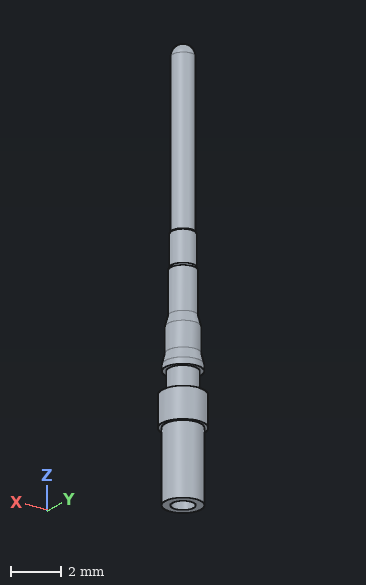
import cadquery as cq
import math

total_length = 19.6
collar_bottom = 3.3
collar_top = 4.7
flange_bottom = 5.7
flange_top = 6.0
seat_bottom = 6.47
seat_top = 7.6
long_step_bottom = 8.08
long_step_top = 10.0
short_step_bottom = 10.11
short_step_top = 11.55
pin_bottom = 11.6

barrel_diameter = 1.7
collar_diameter = 2.0
neck_diameter = 1.33
flange_diameter = 1.69
seat_diameter = 1.45
long_step_diameter = 1.2
short_step_diameter = 1.1
pin_diameter = 1.0

bore_diameter = 1.0
bore_depth = 4.0
drill_point_angle = 118.0
inspection_diameter = 0.6
inspection_height = 3.82


def turned_body():
    """Revolve the stepped outline, with a hemispherical tip on the pin."""
    stretches = [
        (barrel_diameter, 0, collar_bottom),
        (collar_diameter, collar_bottom, collar_top),
        (neck_diameter, collar_top, flange_bottom),
        (flange_diameter, flange_bottom, flange_top),
        (seat_diameter, seat_bottom, seat_top),
        (long_step_diameter, long_step_bottom, long_step_top),
        (short_step_diameter, short_step_bottom, short_step_top),
    ]
    pin_radius = pin_diameter / 2
    tip_center = total_length - pin_radius
    arc_offset = pin_radius * math.sqrt(0.5)

    outline = cq.Workplane("XZ").moveTo(0, 0)
    for diameter, bottom, top in stretches:
        outline = outline.lineTo(diameter / 2, bottom).lineTo(diameter / 2, top)
    return (
        outline.lineTo(pin_radius, pin_bottom)
        .lineTo(pin_radius, tip_center)
        .threePointArc((arc_offset, tip_center + arc_offset), (0, total_length))
        .close()
        .revolve(360, (0, 0), (0, 1))
    )


def wire_bore():
    """Blind bore from the rear end, closed by a drill-point cone."""
    radius = bore_diameter / 2
    cone_height = radius / math.tan(math.radians(drill_point_angle / 2))
    return (
        cq.Workplane("XZ")
        .polyline([(0, 0), (radius, 0), (radius, bore_depth), (0, bore_depth + cone_height)])
        .close()
        .revolve(360, (0, 0), (0, 1))
    )


def inspection_hole():
    """Radial hole through the -Y wall of the collar only."""
    return (
        cq.Workplane("XZ")
        .center(0, inspection_height)
        .circle(inspection_diameter / 2)
        .extrude(collar_diameter)
    )


result = turned_body().cut(wire_bore()).cut(inspection_hole())